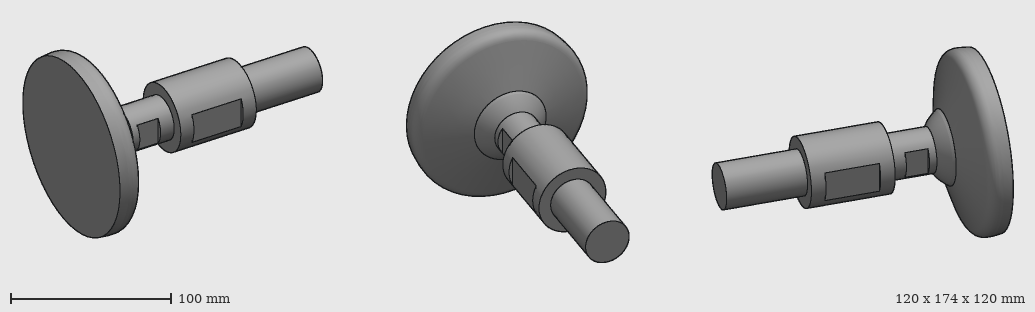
import cadquery as cq
import math

total_length = 174.0

plate_radius = 60.0
sole_radius = 59.3
rim_bottom = 6.5
rim_top = 9.0
shoulder_radius = 7.3
cone_slope = math.radians(19)
cone_top = 26.5

dome_base_radius = 23.5
dome_base = 28.2
dome_top = 36.0
dome_sphere_radius = 27.8

stem_radius = 15.0
stem_flat_width = 23.7
stem_flat_start = 40.9
stem_flat_end = 56.0

sleeve_radius = 23.0
sleeve_start = 66.0
sleeve_end = 121.0
sleeve_flat_width = 41.0
sleeve_flat_margin = 9.5


def cut_flats(body, flat_width, start, end, outer_radius):
    """Cut a pair of opposite wrench flats facing -X and +X."""
    depth = outer_radius - flat_width / 2
    for side in (-1, 1):
        cutter = cq.Workplane("XY").box(2 * depth, end - start, 2 * outer_radius)
        cutter = cutter.translate((side * (flat_width / 2 + depth), (start + end) / 2, 0))
        body = body.cut(cutter)
    return body


def make_foot():
    """Revolve the plate, dome and stem in one piece, then cut the stem flats."""
    shoulder_center = plate_radius - shoulder_radius

    def shoulder_point(angle):
        """Point on the shoulder arc, with the angle measured from the axis."""
        return (
            shoulder_center + shoulder_radius * math.sin(angle),
            rim_top + shoulder_radius * math.cos(angle),
        )

    cone_edge = shoulder_point(cone_slope)
    shoulder_middle = shoulder_point((cone_slope + math.pi / 2) / 2)
    cone_top_radius = cone_edge[0] - (cone_top - cone_edge[1]) / math.tan(cone_slope)

    profile = (
        cq.Workplane("XY")
        .lineTo(sole_radius, 0)
        .lineTo(plate_radius, rim_bottom)
        .lineTo(plate_radius, rim_top)
        .threePointArc(shoulder_middle, cone_edge)
        .lineTo(cone_top_radius, cone_top)
        .lineTo(dome_base_radius, dome_base)
        .radiusArc((stem_radius, dome_top), -dome_sphere_radius)
        .lineTo(stem_radius, total_length)
        .lineTo(0, total_length)
        .close()
    )
    foot = profile.revolve(360, (0, 0, 0), (0, 1, 0))
    return cut_flats(foot, stem_flat_width, stem_flat_start, stem_flat_end, stem_radius)


def make_sleeve():
    """Tube around the stem with a wrench flat on each side."""
    sleeve = (
        cq.Workplane("XZ", origin=(0, sleeve_start, 0))
        .circle(sleeve_radius)
        .circle(stem_radius)
        .extrude(sleeve_start - sleeve_end)
    )
    flat_start = sleeve_start + sleeve_flat_margin
    flat_end = sleeve_end - sleeve_flat_margin
    return cut_flats(sleeve, sleeve_flat_width, flat_start, flat_end, sleeve_radius)


foot = make_foot()
sleeve = make_sleeve()

result = cq.Compound.makeCompound([foot.val(), sleeve.val()])